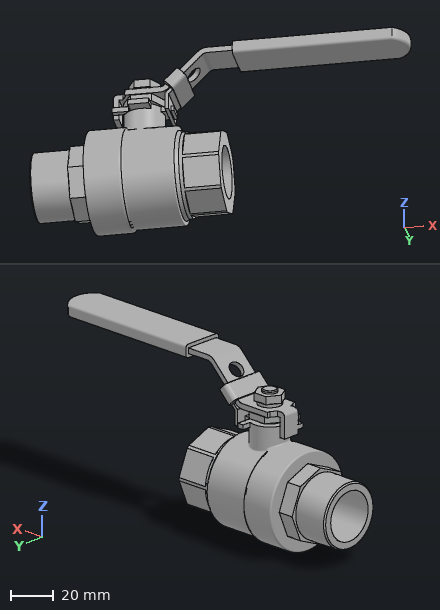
import cadquery as cq
import math

spigot_diameter = 33.2
spigot_chamfer = 0.7
left_octagon_start = 18.6
left_octagon_corners = 38.2
flange_start = 27.0
flange_diameter = 49.5
flange_edge_radius = 0.9
step_start = 43.8
step_length = 2.1
barrel_diameter = 47.0
barrel_end = 69.5
barrel_edge_radius = 0.5
shoulder_diameter = 42.6
shoulder_end = 71.5
right_octagon_start = 73.3
right_end = 90.5
right_octagon_diameter = 41.0
right_corner_land = 1.6
bore_diameter = 25.0

stem_x = 51.5
neck_diameter = 19.5
neck_top = 34.5
neck_root_radius = 0.9
neck_root_depth = 3.5
collar_diameter = 12.0
gland_nut_corners = 20.0
gland_nut_bottom = 36.0
top_nut_corners = 15.0
top_nut_bottom = 44.5
top_nut_top = 48.6
stem_diameter = 7.8
stem_top = 50.0
stem_chamfer = 0.5

stop_plate_thickness = 2.5
stop_plate_left = 37.5
stop_plate_right = 66.4
stop_arm_front = -7.8
plate_shoulder_x = 45.3
shoulder_slant = 1.0
front_ear_right = 56.3
front_ear_end = -15.0
back_ear_left = 55.5
back_ear_right = 59.0
back_ear_end = 13.7

lever_thickness = 2.8
lever_width = 18.6
lever_bottom = 39.8
lever_rise = 18.5
lower_bend_x = 61.8
bend_inner_radius = 3.5
lever_left = 43.8
lever_corner_cut_x = 1.8
lever_corner_cut_y = 1.6
stop_tab_width = 9.2
stop_tab_left = 37.5
stop_tab_bottom = 29.6
stop_tab_bend_radius = 2.1
lever_hole_diameter = 7.8
lever_hole_x = 73.0

slide_length = 8.9
slide_thickness = 6.7
slide_width = 24.5
slide_edge_radius = 2.3
slide_center_x = 67.8
slide_center_z = 45.6
lock_tab_width = 19.5
lock_tab_thickness = 1.8
lock_tab_left = 63.0
lock_tab_bottom = 30.7
lock_tab_bend_z = 39.0
lock_tab_slope_run = 3.2

grip_start = 95.1
grip_straight_end = 171.0
grip_end = 177.5
grip_width = 22.0
grip_bottom = 56.1
grip_top = 63.0
grip_edge_radius = 1.8

lever_top = lever_bottom + lever_thickness
upper_lever_top = lever_top + lever_rise
upper_bend_x = lower_bend_x + lever_rise


def x_cylinder(diameter, start, end):
    return cq.Workplane("YZ", origin=(start, 0, 0)).circle(diameter / 2).extrude(end - start)


def x_octagon(corner_diameter, start, end):
    return cq.Workplane("YZ", origin=(start, 0, 0)).polygon(8, corner_diameter).extrude(end - start)


def stem_cylinder(diameter, bottom, top):
    return cq.Workplane("XY", origin=(stem_x, 0, bottom)).circle(diameter / 2).extrude(top - bottom)


def stem_hexagon(corner_diameter, bottom, top):
    return cq.Workplane("XY", origin=(stem_x, 0, bottom)).polygon(6, corner_diameter).extrude(top - bottom)


def xz_prism(outline, width):
    """Extrude an outline of (x, z) points to a width centred on the XZ plane."""
    return cq.Workplane("XZ").polyline(outline).close().extrude(width / 2, both=True)


def make_barrel():
    flange_radius = flange_diameter / 2
    barrel_radius = barrel_diameter / 2
    step_middle = (step_start + step_length / 2, (flange_radius + barrel_radius) / 2)
    step_end = (step_start + step_length, barrel_radius)
    profile = (
        cq.Workplane("XY")
        .moveTo(flange_start, 0)
        .lineTo(flange_start, flange_radius)
        .lineTo(step_start, flange_radius)
        .tangentArcPoint(step_middle, relative=False)
        .tangentArcPoint(step_end, relative=False)
        .lineTo(barrel_end, barrel_radius)
        .lineTo(barrel_end, 0)
        .close()
    )
    barrel = profile.revolve(360, (0, 0, 0), (1, 0, 0))
    barrel = barrel.faces("<X").edges().fillet(flange_edge_radius)
    return barrel.faces(">X").edges().fillet(barrel_edge_radius)


def make_left_end():
    spigot = x_cylinder(spigot_diameter, 0, left_octagon_start).faces("<X").chamfer(spigot_chamfer)
    return spigot.union(x_octagon(left_octagon_corners, left_octagon_start, flange_start))


def make_right_end():
    radius = right_octagon_diameter / 2
    shoulder = (
        cq.Workplane("XY")
        .polyline(
            [
                (barrel_end, 0),
                (barrel_end, shoulder_diameter / 2),
                (shoulder_end, radius),
                (right_octagon_start, radius),
                (right_octagon_start, 0),
            ]
        )
        .close()
        .revolve(360, (0, 0, 0), (1, 0, 0))
    )
    half_side_angle = math.pi / 8
    land_angle = math.asin(right_corner_land / 2 / radius)
    flat_distance = radius * math.cos(half_side_angle - land_angle)
    octagon = x_octagon(2 * flat_distance / math.cos(half_side_angle), right_octagon_start, right_end)
    octagon = octagon.intersect(x_cylinder(right_octagon_diameter, right_octagon_start, right_end))
    return shoulder.union(octagon)


def make_body():
    neck = stem_cylinder(neck_diameter, 0, neck_top)
    body = make_barrel().union(neck)
    reach = neck_diameter / 2 + neck_root_radius
    root_box = cq.selectors.BoxSelector(
        (stem_x - reach, -reach, barrel_diameter / 2 - neck_root_depth),
        (stem_x + reach, reach, flange_diameter / 2 + neck_root_radius),
    )
    body = body.edges(root_box).edges("not(#X)").fillet(neck_root_radius)
    body = body.union(make_left_end()).union(make_right_end())
    return body.cut(x_cylinder(bore_diameter, 0, right_end))


def make_stem():
    collar = stem_cylinder(collar_diameter, neck_top, top_nut_bottom)
    gland_nut = stem_hexagon(gland_nut_corners, gland_nut_bottom, lever_bottom)
    top_nut = stem_hexagon(top_nut_corners, top_nut_bottom, top_nut_top)
    tip = stem_cylinder(stem_diameter, top_nut_bottom, stem_top).faces(">Z").chamfer(stem_chamfer)
    return collar.union(gland_nut).union(top_nut).union(tip)


def make_stop_plate():
    """Plate with a stop arm on each side of the stem and two ears across the valve."""
    half_tab = stop_tab_width / 2
    front_ear_left = plate_shoulder_x + shoulder_slant
    outline = [
        (stop_plate_left, stop_arm_front),
        (plate_shoulder_x, stop_arm_front),
        (front_ear_left, stop_arm_front - shoulder_slant),
        (front_ear_left, front_ear_end),
        (front_ear_right, front_ear_end),
        (front_ear_right, -half_tab),
        (stop_plate_right, -half_tab),
        (stop_plate_right, half_tab),
        (back_ear_right, half_tab),
        (back_ear_right, back_ear_end),
        (back_ear_left, back_ear_end),
        (back_ear_left, half_tab),
        (plate_shoulder_x, half_tab),
        (plate_shoulder_x, -half_tab),
        (stop_plate_left, -half_tab),
    ]
    plate = cq.Workplane("XY", origin=(0, 0, neck_top)).polyline(outline).close()
    return plate.extrude(-stop_plate_thickness)


def make_lever():
    corner_shift = lever_thickness * math.tan(math.pi / 8)
    outline = [
        (stop_tab_left, stop_tab_bottom),
        (stop_tab_left, lever_top),
        (lower_bend_x, lever_top),
        (upper_bend_x, upper_lever_top),
        (grip_start, upper_lever_top),
        (grip_start, upper_lever_top - lever_thickness),
        (upper_bend_x + corner_shift, upper_lever_top - lever_thickness),
        (lower_bend_x + corner_shift, lever_bottom),
        (stop_tab_left + lever_thickness, lever_bottom),
        (stop_tab_left + lever_thickness, stop_tab_bottom),
    ]
    strip = xz_prism(outline, lever_width)

    def round_bend(solid, x, z, radius):
        reach = 0.2
        corner = cq.selectors.BoxSelector(
            (x - reach, -lever_width, z - reach), (x + reach, lever_width, z + reach)
        )
        return solid.edges(corner).edges("|Y").fillet(radius)

    bend_outer_radius = bend_inner_radius + lever_thickness
    strip = round_bend(strip, stop_tab_left, lever_top, stop_tab_bend_radius)
    strip = round_bend(strip, lower_bend_x, lever_top, bend_inner_radius)
    strip = round_bend(strip, lower_bend_x + corner_shift, lever_bottom, bend_outer_radius)
    strip = round_bend(strip, upper_bend_x, upper_lever_top, bend_outer_radius)
    strip = round_bend(
        strip, upper_bend_x + corner_shift, upper_lever_top - lever_thickness, bend_inner_radius
    )

    half_width = lever_width / 2
    half_tab = stop_tab_width / 2
    upper_side = [
        (stop_tab_left, half_tab),
        (lever_left - lever_corner_cut_x, half_tab),
        (lever_left, half_width - lever_corner_cut_y),
        (lever_left, half_width),
        (grip_start, half_width),
    ]
    lower_side = [(x, -y) for x, y in reversed(upper_side)]
    plan = cq.Workplane("XY").polyline(upper_side + lower_side).close().extrude(upper_lever_top)
    lever = strip.intersect(plan)

    hole_z = lever_top + lever_hole_x - lower_bend_x
    hole_plane = cq.Plane(origin=(lever_hole_x, 0, hole_z), xDir=(0, 1, 0), normal=(-1, 0, 1))
    hole = cq.Workplane(hole_plane).circle(lever_hole_diameter / 2).extrude(2 * lever_thickness, both=True)
    return lever.cut(hole)


def make_lock_slide():
    slope_plane = cq.Plane(
        origin=(slide_center_x, 0, slide_center_z), xDir=(0, 1, 0), normal=(1, 0, 1)
    )
    slide = (
        cq.Workplane(slope_plane)
        .rect(slide_width, slide_thickness)
        .extrude(slide_length / 2, both=True)
        .edges("|(1, 0, 1)")
        .fillet(slide_edge_radius)
    )
    bend_shift = lock_tab_thickness * math.tan(math.pi / 8)
    lock_tab_right = lock_tab_left + lock_tab_thickness
    tab = xz_prism(
        [
            (lock_tab_left, lock_tab_bottom),
            (lock_tab_left, lock_tab_bend_z),
            (lock_tab_left + lock_tab_slope_run, lock_tab_bend_z + lock_tab_slope_run),
            (lock_tab_right + lock_tab_slope_run, lock_tab_bend_z - bend_shift + lock_tab_slope_run),
            (lock_tab_right, lock_tab_bend_z - bend_shift),
            (lock_tab_right, lock_tab_bottom),
        ],
        lock_tab_width,
    )
    return slide.union(tab)


def make_grip():
    half_width = grip_width / 2
    grip = (
        cq.Workplane("XY", origin=(0, 0, grip_bottom))
        .moveTo(grip_start, -half_width)
        .lineTo(grip_straight_end, -half_width)
        .threePointArc((grip_end, 0), (grip_straight_end, half_width))
        .lineTo(grip_start, half_width)
        .close()
        .extrude(grip_top - grip_bottom)
    )
    long_edges = grip.faces("<Z or >Z").edges("not(<X)")
    return long_edges.fillet(grip_edge_radius)


result = (
    make_body()
    .union(make_stem())
    .union(make_stop_plate())
    .union(make_lever())
    .union(make_lock_slide())
    .union(make_grip())
)